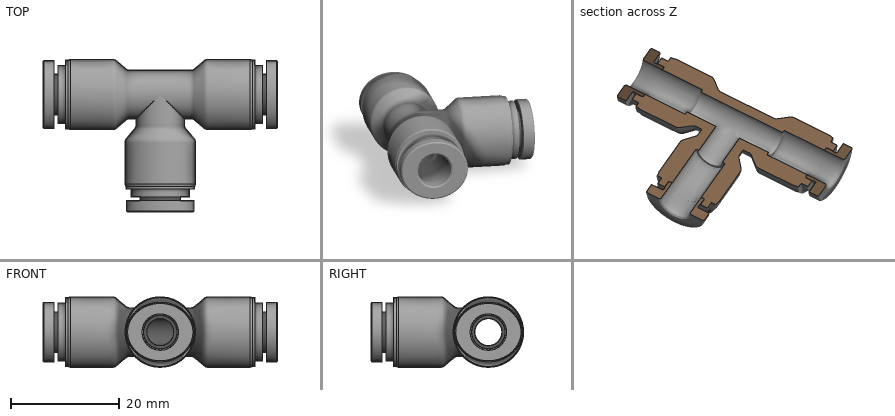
import cadquery as cq
import math

reach = 21.7

pipe_diameter = 9.0
socket_diameter = 13.0
lip_diameter = 12.7
collar_diameter = 10.75
tube_socket_diameter = 6.15
bore_diameter = 5.0

pipe_end = 5.75
socket_end = 16.6
lip_start = 17.0
lip_end = 17.5
collar_end = 18.92

flare_angle = math.radians(40)
inner_blend = 0.85
outer_blend = 1.0

flange_width = 12.5
flange_height = 11.02
flange_thickness = 2.1
flange_edge = 0.2
neck_diameter = 7.5
sleeve_bore_diameter = 6.2
mouth_chamfer = 0.25

pipe_radius = pipe_diameter / 2
socket_radius = socket_diameter / 2
lip_radius = lip_diameter / 2
collar_radius = collar_diameter / 2

blend_rise = 1 - math.cos(flare_angle)
cone_start_radius = pipe_radius + inner_blend * blend_rise
cone_end_radius = socket_radius - outer_blend * blend_rise
cone_start = pipe_end + inner_blend * math.sin(flare_angle)
cone_end = cone_start + (cone_end_radius - cone_start_radius) / math.tan(flare_angle)
socket_start = cone_end + outer_blend * math.sin(flare_angle)

flange_back = reach - flange_thickness
tube_stop = socket_start
sleeve_start = lip_end

arm_angles = [0, 180, -90]


def place_on_arm(shape, angle):
    """Turn a shape built along +Z so that it lies along one arm, keeping its local Y along Z."""
    along_x = shape.rotate((0, 0, 0), (1, 1, 1), 120)
    return along_x.rotate((0, 0, 0), (0, 0, 1), angle)


def make_arm():
    """Outside of one arm, revolved about Z: pipe, flare, socket, lip and collar."""
    return (
        cq.Workplane("XZ")
        .moveTo(0, 0)
        .lineTo(pipe_radius, 0)
        .lineTo(pipe_radius, pipe_end)
        .tangentArcPoint((cone_start_radius, cone_start), relative=False)
        .lineTo(cone_end_radius, cone_end)
        .tangentArcPoint((socket_radius, socket_start), relative=False)
        .lineTo(socket_radius, socket_end)
        .lineTo(lip_radius, lip_start)
        .lineTo(lip_radius, lip_end)
        .lineTo(collar_radius, lip_end)
        .lineTo(collar_radius, collar_end)
        .lineTo(0, collar_end)
        .close()
        .revolve(360, (0, 0, 0), (0, 1, 0))
    )


def make_rod(diameter, start, end):
    """Round rod on the Z axis between two distances from the centre of the tee."""
    return cq.Workplane("XY").workplane(offset=start).circle(diameter / 2).extrude(end - start)


def make_arm_bore():
    """Passage from the centre of the tee, stepping out to the tube socket and the sleeve pocket."""
    passage = make_rod(bore_diameter, 0, tube_stop)
    tube_socket = make_rod(tube_socket_diameter, tube_stop, sleeve_start)
    pocket = make_rod(neck_diameter, sleeve_start, collar_end)
    return passage.union(tube_socket).union(pocket)


def make_tee():
    tee = place_on_arm(make_arm(), arm_angles[0])
    for angle in arm_angles[1:]:
        tee = tee.union(place_on_arm(make_arm(), angle))
    for angle in arm_angles:
        tee = tee.cut(place_on_arm(make_arm_bore(), angle))
    return tee


def make_sleeve():
    """Release sleeve along +Z: round neck with an oval push flange and a chamfered tube mouth."""
    neck = make_rod(neck_diameter, sleeve_start, reach)
    flange = (
        cq.Workplane("XY")
        .workplane(offset=flange_back)
        .ellipse(flange_width / 2, flange_height / 2)
        .extrude(flange_thickness)
        .faces(">Z")
        .edges()
        .chamfer(flange_edge)
    )
    sleeve_bore = make_rod(sleeve_bore_diameter, sleeve_start, reach)
    return (
        neck.union(flange)
        .cut(sleeve_bore)
        .faces(">Z")
        .edges("%CIRCLE")
        .chamfer(mouth_chamfer)
    )


tee = make_tee()
sleeves = [place_on_arm(make_sleeve(), angle) for angle in arm_angles]

result = cq.Compound.makeCompound([tee.val(), *[sleeve.val() for sleeve in sleeves]])